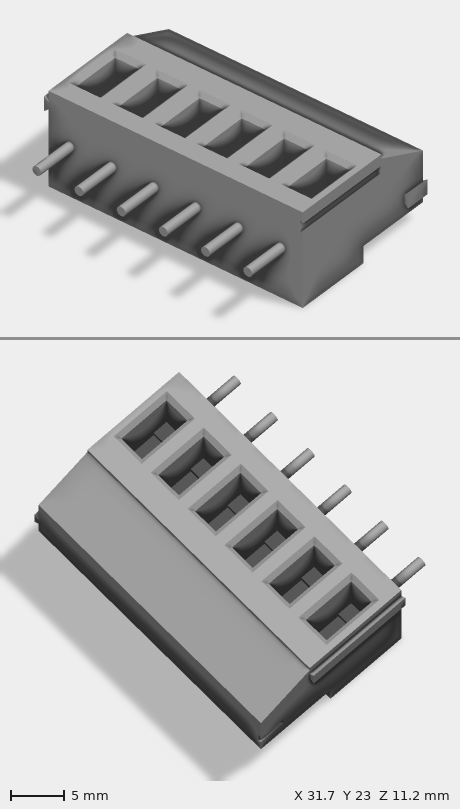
import cadquery as cq

POLES = 6
PITCH = 5.08
BODY_WIDTH = 30.6
BODY_DEPTH = 18.0
BODY_HEIGHT = 11.15

DECK_DEPTH = 11.75
DECK_STEP = 0.5
SLOPE_DROP = 2.65
FOOT_DEPTH = 9.1
FOOT_HEIGHT = 2.0

PIN_DIAMETER = 1.05
PIN_LENGTH = 5.0
PIN_Z = 5.875

WINDOW_WIDTH = 3.85
WINDOW_LENGTH = 6.8
WINDOW_FRONT = 2.2
WINDOW_TAPER = 0.5
WELL_DEPTH = 6.0
SHELF_LENGTH = 1.65
SHELF_HEIGHT = 0.5

RAIL_REACH = 0.55
GROOVE_DEPTH = 0.45
DOVETAIL_WIDE = 1.75
DOVETAIL_NARROW = 0.85
UPPER_DOVETAIL_Z = BODY_HEIGHT - 1.75
LOWER_DOVETAIL_Z = BODY_HEIGHT - 7.1
LOWER_DOVETAIL_LENGTH = 2.9

LEFT = -BODY_WIDTH / 2
RIGHT = BODY_WIDTH / 2
POLE_X = [(i - (POLES - 1) / 2) * PITCH for i in range(POLES)]


def housing():
    roof_z = BODY_HEIGHT - DECK_STEP
    outline = [
        (0, 0),
        (FOOT_DEPTH, 0),
        (FOOT_DEPTH, FOOT_HEIGHT),
        (BODY_DEPTH, FOOT_HEIGHT),
        (BODY_DEPTH, roof_z - SLOPE_DROP),
        (DECK_DEPTH, roof_z),
        (DECK_DEPTH, BODY_HEIGHT),
        (0, BODY_HEIGHT),
    ]
    return cq.Workplane("YZ", origin=(LEFT, 0, 0)).polyline(outline).close().extrude(BODY_WIDTH)


def window(x):
    """Tapered mouth, straight well and a low shelf at the front of the well floor."""
    well_width = WINDOW_WIDTH - 2 * WINDOW_TAPER
    well_length = WINDOW_LENGTH - 2 * WINDOW_TAPER
    center_y = WINDOW_FRONT + WINDOW_LENGTH / 2
    mouth = (
        cq.Workplane("XY", origin=(x, center_y, BODY_HEIGHT))
        .rect(WINDOW_WIDTH, WINDOW_LENGTH)
        .workplane(offset=-WINDOW_TAPER)
        .rect(well_width, well_length)
        .loft(ruled=True)
    )
    floor_z = BODY_HEIGHT - WELL_DEPTH
    well = (
        cq.Workplane("XY", origin=(x, center_y, floor_z))
        .rect(well_width, well_length)
        .extrude(WELL_DEPTH - WINDOW_TAPER)
    )
    shelf_y = WINDOW_FRONT + WINDOW_TAPER + SHELF_LENGTH / 2
    shelf = (
        cq.Workplane("XY", origin=(x, shelf_y, floor_z))
        .rect(well_width, SHELF_LENGTH)
        .extrude(SHELF_HEIGHT)
    )
    return mouth.union(well.cut(shelf))


def pin(x):
    """Round pin standing out of the front face, rooted inside the housing wall."""
    root = WINDOW_FRONT / 2
    return (
        cq.Workplane("XZ", origin=(x, root, PIN_Z))
        .circle(PIN_DIAMETER / 2)
        .extrude(PIN_LENGTH + root)
    )


def dovetail(side_x, x_offset, z, y_start, length):
    """Prism that widens from side_x to side_x + x_offset."""
    wide_x = side_x + x_offset
    outline = [
        (side_x, z - DOVETAIL_NARROW / 2),
        (wide_x, z - DOVETAIL_WIDE / 2),
        (wide_x, z + DOVETAIL_WIDE / 2),
        (side_x, z + DOVETAIL_NARROW / 2),
    ]
    return cq.Workplane("XZ", origin=(0, y_start, 0)).polyline(outline).close().extrude(-length)


body = housing()
for pole_x in POLE_X:
    body = body.cut(window(pole_x)).union(pin(pole_x))

upper = (UPPER_DOVETAIL_Z, 0, DECK_DEPTH)
lower = (LOWER_DOVETAIL_Z, BODY_DEPTH - LOWER_DOVETAIL_LENGTH, LOWER_DOVETAIL_LENGTH)
body = body.cut(dovetail(RIGHT, -GROOVE_DEPTH, *upper))
body = body.cut(dovetail(LEFT, GROOVE_DEPTH, *lower))
body = body.union(dovetail(LEFT, -RAIL_REACH, *upper))
result = body.union(dovetail(RIGHT, RAIL_REACH, *lower))